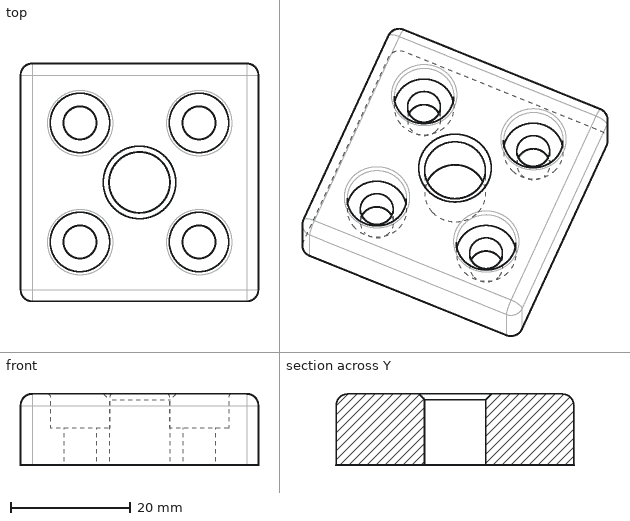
import cadquery as cq

side = 40.0
height = 12.0
edge_radius = 2.0

screw_spacing = 20.0
screw_diameter = 5.5
counterbore_diameter = 10.0
counterbore_depth = 5.7
counterbore_rim_diameter = 11.0

center_diameter = 10.2
center_rim_diameter = 12.2


def make_block():
    """Square block with rounded vertical and top edges and a sharp bottom."""
    block = cq.Workplane("XY").box(side, side, height, centered=(True, True, False))
    return block.edges("|Z or >Z").fillet(edge_radius)


def cut_screw_holes(block):
    """Cut the four counterbored screw holes and round their rims."""
    rim_fillet = (counterbore_rim_diameter - counterbore_diameter) / 2
    drilled = (
        block.faces(">Z")
        .workplane(origin=(0, 0, height))
        .rect(screw_spacing, screw_spacing, forConstruction=True)
        .vertices()
        .cboreHole(screw_diameter, counterbore_diameter, counterbore_depth)
    )
    return drilled.faces(">Z").edges("%CIRCLE").fillet(rim_fillet)


def cut_center_hole(block):
    """Cut the central through hole and its 45 degree chamfer."""
    chamfer = (center_rim_diameter - center_diameter) / 2
    bore = cq.Workplane("XY").circle(center_diameter / 2).extrude(height)
    mouth = cq.Workplane(
        cq.Solid.makeCone(
            center_diameter / 2,
            center_rim_diameter / 2,
            chamfer,
            pnt=cq.Vector(0, 0, height - chamfer),
        )
    )
    return block.cut(bore).cut(mouth)


result = cut_center_hole(cut_screw_holes(make_block()))